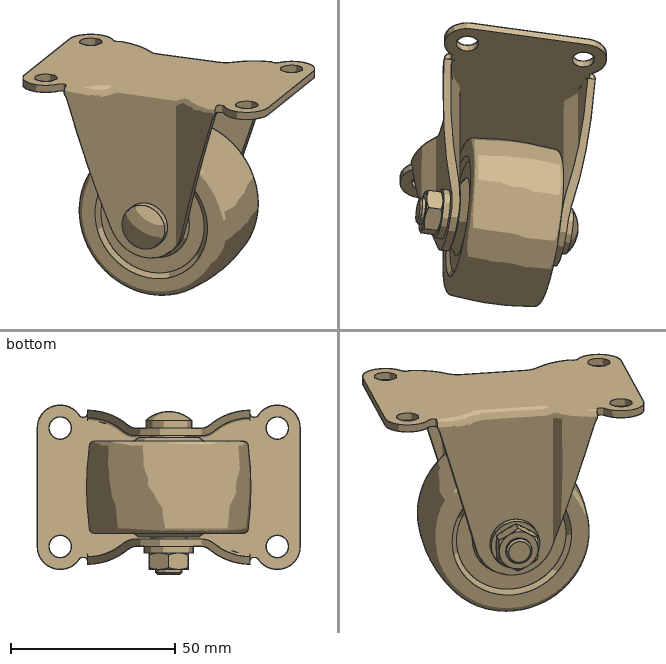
import cadquery as cq
import math


PLATE_LENGTH = 80.0
PLATE_WIDTH = 50.0
OVERALL_HEIGHT = 68.0
SHEET = 2.3
HOLE_PITCH_X = 66.0
HOLE_PITCH_Y = 36.0
HOLE_DIAMETER = 6.7

LEG_GAP = 31.4
FLAT_HALF_WIDTH = 9.8
FLARE_ANGLE = 40.0
FLARE_IN_RADIUS = 4.0
FLARE_OUT_RADIUS = 19.2
BEND_RADIUS = 3.3
BEND_END_RADIUS = 2.1
BEND_INNER_RADIUS = 0.8

LEG_TIP_RADIUS = 12.2
LEG_TIP_DROP = 10.6
LEG_TAPER = 16.7
RELIEF_DROP = 3.7
RELIEF_FLOOR = 21.4
RELIEF_FILLET = 1.0

WHEEL_DIAMETER = 50.0
WHEEL_EDGE_RADIUS = 24.0
WHEEL_WIDTH = 28.0
TREAD_FILLET = 1.5
RECESS_RADIUS = 18.5
RECESS_FLOOR_RADIUS = 17.0
RECESS_DEPTH = 1.0
HUB_WIDTH = 30.3
HUB_BASE_RADIUS = 12.1
HUB_END_RADIUS = 9.1
SPACER_RADIUS = 5.6

BOLT_RADIUS = 4.0
BOLT_END = 26.5
BOLT_CHAMFER = 0.6
HEAD_DIAMETER = 14.0
HEAD_RIM = 2.3
HEAD_DOME = 2.7
WASHER_RADIUS = 7.5
WASHER_THICKNESS = 2.0
NUT_ACROSS_FLATS = 12.0
NUT_THICKNESS = 5.0
NUT_CHAMFER_ANGLE = 30.0

MOUNT_HEIGHT = OVERALL_HEIGHT - WHEEL_DIAMETER / 2
HOLE_X = HOLE_PITCH_X / 2
HOLE_Y = HOLE_PITCH_Y / 2
LOBE_RADIUS = PLATE_LENGTH / 2 - HOLE_X
PLATE_UNDERSIDE = MOUNT_HEIGHT - SHEET
LEG_INNER = LEG_GAP / 2
LEG_OUTER = LEG_INNER + SHEET
TURN = math.radians(FLARE_ANGLE)
TURN_X = FLAT_HALF_WIDTH + FLARE_IN_RADIUS * math.sin(TURN)
LEG_END_X = TURN_X + FLARE_OUT_RADIUS * math.sin(TURN)
LEG_END_Y = LEG_OUTER + (FLARE_IN_RADIUS + FLARE_OUT_RADIUS) * (1 - math.cos(TURN))
PLATE_NECK_X = LEG_END_X + RELIEF_FILLET
BULGE_CENTER_Y = LEG_END_Y - FLARE_OUT_RADIUS
HOLLOW_CENTER_Y = LEG_OUTER + FLARE_IN_RADIUS


def hollow_point(angle, inset=0.0):
    """Plan point on the hollow curve, inset from the leg's outer face."""
    radius = FLARE_IN_RADIUS + inset
    return (FLAT_HALF_WIDTH + radius * math.sin(angle), HOLLOW_CENTER_Y - radius * math.cos(angle))


def bulge_point(angle, inset=0.0):
    """Plan point on the bulging curve, inset from the leg's outer face."""
    radius = FLARE_OUT_RADIUS - inset
    return (LEG_END_X - radius * math.sin(angle), BULGE_CENTER_Y + radius * math.cos(angle))


def waisted_block(inset, height):
    """Block with the legs' plan outline, inset from it and run straight on to the plate necks."""
    bottom = -LEG_TIP_DROP
    quarter = (
        cq.Workplane("XY", origin=(0, 0, bottom))
        .lineTo(0, LEG_OUTER - inset)
        .lineTo(FLAT_HALF_WIDTH, LEG_OUTER - inset)
        .threePointArc(hollow_point(TURN / 2, inset), hollow_point(TURN, inset))
        .threePointArc(bulge_point(TURN / 2, inset), bulge_point(0, inset))
    )
    half = (
        quarter.lineTo(PLATE_NECK_X, LEG_END_Y - inset)
        .lineTo(PLATE_NECK_X, 0)
        .close()
        .extrude(height - bottom)
    )
    half = half.union(half.mirror("YZ"))
    return half.union(half.mirror("XZ")).clean()


def corner_waste(plane, radius):
    """Sharp corner outside a round of the given radius; the corner is at the plane's origin."""
    inner = radius * (1 - math.sqrt(0.5))
    return (
        cq.Workplane(plane)
        .lineTo(-radius, 0)
        .threePointArc((-inner, -inner), (0, -radius))
        .close()
    )


def bend_rounding():
    """Waste to remove from one quarter of the top edge, leaving the outer bend."""
    top = MOUNT_HEIGHT

    def across(point, angle):
        outward = (-math.sin(angle), math.cos(angle), 0)
        return cq.Plane(origin=(*point, top), xDir=outward, normal=(math.cos(angle), math.sin(angle), 0))

    straight = corner_waste(across((0, LEG_OUTER), 0), BEND_RADIUS).extrude(FLAT_HALF_WIDTH)

    hollow = corner_waste(across(hollow_point(0), 0), BEND_RADIUS).revolve(
        FLARE_ANGLE, (FLARE_IN_RADIUS, 0), (FLARE_IN_RADIUS, 1)
    )

    bulge_path = (
        cq.Workplane("XY", origin=(0, 0, top))
        .moveTo(*bulge_point(TURN))
        .threePointArc(bulge_point(TURN / 2), bulge_point(0))
    )
    start = corner_waste(across(bulge_point(TURN), TURN), BEND_RADIUS)
    end = corner_waste(across(bulge_point(0), 0), BEND_END_RADIUS)
    bulge = start.add(end).toPending().sweep(bulge_path, multisection=True)
    past_end = corner_waste(across(bulge_point(0), 0), BEND_END_RADIUS).extrude(RELIEF_FILLET)
    return [straight, hollow, bulge, past_end]


def leg_outline():
    """Prism along Y with the front outline of the legs and the plate between them."""
    taper = math.radians(LEG_TAPER)
    center_z = LEG_TIP_RADIUS - LEG_TIP_DROP
    tangent_x = LEG_TIP_RADIUS * math.cos(taper)
    tangent_z = center_z - LEG_TIP_RADIUS * math.sin(taper)
    relief_z = MOUNT_HEIGHT - RELIEF_DROP
    relief_x = tangent_x + (relief_z - tangent_z) * math.tan(taper)
    return (
        cq.Workplane("XZ")
        .moveTo(-tangent_x, tangent_z)
        .threePointArc((0, -LEG_TIP_DROP), (tangent_x, tangent_z))
        .lineTo(relief_x, relief_z)
        .lineTo(LEG_END_X, PLATE_UNDERSIDE)
        .lineTo(PLATE_NECK_X, PLATE_UNDERSIDE)
        .lineTo(PLATE_NECK_X, MOUNT_HEIGHT)
        .lineTo(-PLATE_NECK_X, MOUNT_HEIGHT)
        .lineTo(-PLATE_NECK_X, PLATE_UNDERSIDE)
        .lineTo(-LEG_END_X, PLATE_UNDERSIDE)
        .lineTo(-relief_x, relief_z)
        .close()
        .extrude(PLATE_WIDTH / 2, both=True)
    )


def relief_notch():
    """Notch beside one leg end, with a round between its floor and the leg."""
    wall_foot = RELIEF_FLOOR + RELIEF_FILLET
    round_inset = RELIEF_FILLET * (1 - math.sqrt(0.5))
    return (
        cq.Workplane("XY", origin=(0, 0, PLATE_UNDERSIDE))
        .moveTo(LEG_END_X, PLATE_WIDTH / 2)
        .lineTo(LEG_END_X, wall_foot)
        .threePointArc((LEG_END_X + round_inset, RELIEF_FLOOR + round_inset), (PLATE_NECK_X, RELIEF_FLOOR))
        .lineTo(PLATE_NECK_X, PLATE_WIDTH / 2)
        .close()
        .extrude(SHEET)
    )


def four_fold(piece):
    """The piece and its copies mirrored to the other three quarters."""
    opposite = piece.mirror("YZ")
    return [piece, opposite, piece.mirror("XZ"), opposite.mirror("XZ")]


def plate_ends():
    """Flat ends of the plate beyond the legs, with a round lobe at each corner."""
    corners = [(x, y) for x in (-HOLE_X, HOLE_X) for y in (-HOLE_Y, HOLE_Y)]
    base = cq.Workplane("XY", origin=(0, 0, PLATE_UNDERSIDE))
    edge = base.rect(PLATE_LENGTH, 2 * HOLE_Y).extrude(SHEET)
    inward = base.rect(2 * HOLE_X, 2 * RELIEF_FLOOR).extrude(SHEET)
    middle = base.rect(2 * PLATE_NECK_X, PLATE_WIDTH).extrude(SHEET)
    lobes = base.pushPoints(corners).circle(LOBE_RADIUS).extrude(SHEET)
    holes = base.pushPoints(corners).circle(HOLE_DIAMETER / 2).extrude(SHEET)
    ends = edge.union(inward).union(lobes).clean()
    neck_x = HOLE_X - math.sqrt(LOBE_RADIUS**2 - (RELIEF_FLOOR - HOLE_Y) ** 2)
    for x in (-neck_x, neck_x):
        for y in (-RELIEF_FLOOR, RELIEF_FLOOR):
            corner = cq.NearestToPointSelector((x, y, MOUNT_HEIGHT - SHEET / 2))
            ends = ends.edges("|Z").edges(corner).fillet(RELIEF_FILLET)
    return ends.cut(middle).cut(holes)


def make_bracket():
    bracket = waisted_block(0, MOUNT_HEIGHT)
    inside = waisted_block(SHEET, PLATE_UNDERSIDE)
    ceiling_edges = inside.faces(">Z").edges("not <X").edges("not >X")
    bracket = bracket.cut(ceiling_edges.fillet(BEND_INNER_RADIUS)).intersect(leg_outline())
    for waste in [*bend_rounding(), relief_notch()]:
        for piece in four_fold(waste):
            bracket = bracket.cut(piece)
    bracket = bracket.union(plate_ends())
    bore = cq.Workplane("XZ").circle(BOLT_RADIUS).extrude(PLATE_WIDTH, both=True)
    return bracket.cut(bore)


def turned(profile):
    """Revolve a closed outline, drawn as (radius, Y), about the Y axis."""
    return profile.close().revolve(360, (0, 0), (0, 1))


def make_wheel():
    face = WHEEL_WIDTH / 2
    hub = HUB_WIDTH / 2
    floor = face - RECESS_DEPTH
    tread = turned(
        cq.Workplane("XY")
        .moveTo(0, -face)
        .lineTo(WHEEL_EDGE_RADIUS, -face)
        .threePointArc((WHEEL_DIAMETER / 2, 0), (WHEEL_EDGE_RADIUS, face))
        .lineTo(0, face)
    )
    wheel = tread.faces("<Y or >Y").edges().fillet(TREAD_FILLET)
    recess = turned(
        cq.Workplane("XY")
        .moveTo(0, floor)
        .lineTo(RECESS_FLOOR_RADIUS, floor)
        .lineTo(RECESS_RADIUS, face)
        .lineTo(0, face)
    )
    boss = turned(
        cq.Workplane("XY")
        .moveTo(0, floor)
        .lineTo(HUB_BASE_RADIUS, floor)
        .lineTo(HUB_END_RADIUS, hub)
        .lineTo(SPACER_RADIUS, hub)
        .lineTo(SPACER_RADIUS, LEG_INNER)
        .lineTo(0, LEG_INNER)
    )
    for side in (recess, recess.mirror("XZ")):
        wheel = wheel.cut(side)
    for side in (boss, boss.mirror("XZ")):
        wheel = wheel.union(side)
    bore = cq.Workplane("XZ").circle(BOLT_RADIUS).extrude(LEG_INNER, both=True)
    return wheel.cut(bore)


def make_nut(start):
    """Hexagon nut with two flats facing +-X and its corners chamfered at both ends."""
    end = start + NUT_THICKNESS
    flat_radius = NUT_ACROSS_FLATS / 2
    corner_radius = flat_radius / math.cos(math.pi / 6)
    chamfer = (corner_radius - flat_radius) * math.tan(math.radians(NUT_CHAMFER_ANGLE))
    hexagon = (
        cq.Workplane("XZ", origin=(0, start, 0))
        .transformed(rotate=(0, 0, 90))
        .polygon(6, 2 * corner_radius)
        .extrude(-NUT_THICKNESS)
    )
    envelope = turned(
        cq.Workplane("XY")
        .moveTo(0, start)
        .lineTo(flat_radius, start)
        .lineTo(corner_radius, start + chamfer)
        .lineTo(corner_radius, end - chamfer)
        .lineTo(flat_radius, end)
        .lineTo(0, end)
    )
    return hexagon.intersect(envelope)


def make_axle():
    """Domed bolt clamped by a washer and a nut, all one body."""
    rim = -LEG_OUTER - HEAD_RIM
    crown = rim - HEAD_DOME
    head_radius = HEAD_DIAMETER / 2
    dome_radius = (head_radius**2 + HEAD_DOME**2) / (2 * HEAD_DOME)
    half_angle = math.asin(head_radius / dome_radius) / 2
    dome_middle = (
        dome_radius * math.sin(half_angle),
        crown + dome_radius * (1 - math.cos(half_angle)),
    )
    nut_start = LEG_OUTER + WASHER_THICKNESS
    bolt = turned(
        cq.Workplane("XY")
        .moveTo(0, crown)
        .threePointArc(dome_middle, (head_radius, rim))
        .lineTo(head_radius, -LEG_OUTER)
        .lineTo(BOLT_RADIUS, -LEG_OUTER)
        .lineTo(BOLT_RADIUS, LEG_OUTER)
        .lineTo(WASHER_RADIUS, LEG_OUTER)
        .lineTo(WASHER_RADIUS, nut_start)
        .lineTo(BOLT_RADIUS, nut_start)
        .lineTo(BOLT_RADIUS, BOLT_END - BOLT_CHAMFER)
        .lineTo(BOLT_RADIUS - BOLT_CHAMFER, BOLT_END)
        .lineTo(0, BOLT_END)
    )
    return bolt.union(make_nut(nut_start))


bracket = make_bracket()
wheel = make_wheel()
axle = make_axle()
result = cq.Compound.makeCompound([bracket.solids().val(), wheel.solids().val(), axle.solids().val()])